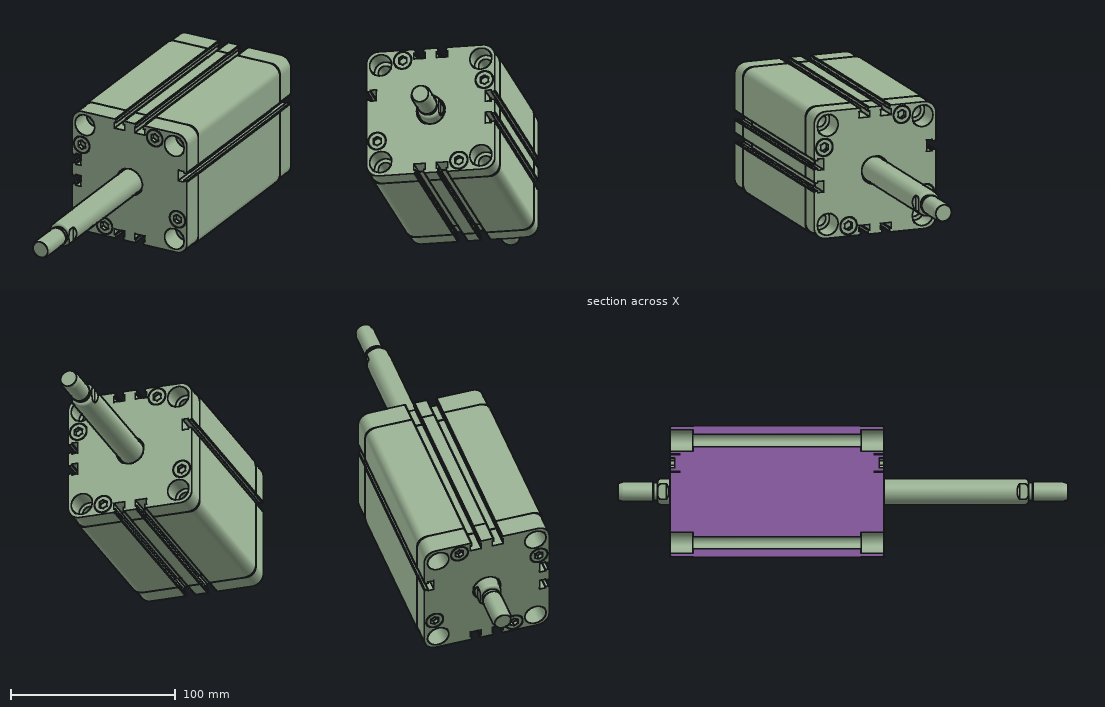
import cadquery as cq
import math


body_side = 80.0
body_length = 130.0
cap_side = 79.6
cap_length = 14.0
cap_corner_radius = 7.3
barrel_corner_radius = 6.5

slot_spacing = 14.0
slot_mouth_width = 5.2
slot_inner_width = 7.0
slot_lip_depth = 2.6
slot_chamfer = 0.5
cap_slot_depth = 6.3
barrel_slot_depth = 5.8
single_slot_offset = 12.0

mount_hole_pitch = 62.0
mount_hole_diameter = 8.57
mount_bore_diameter = 13.5
mount_bore_depth = cap_length

screw_edge_offset = 33.2
screw_side_offset = 17.4
screw_head_diameter = 10.5
screw_head_height = 6.0
screw_bore_diameter = 11.1
socket_across_flats = 5.0
socket_depth = 3.0

rod_diameter = 16.0
rod_gap_diameter = 17.6
rod_gap_depth = 2.0
front_reach = 111.5
rear_reach = 31.5
thread_diameter = 12.0
tip_diameter = 10.3
tip_length = 2.8
neck_diameter = 11.0
thread_end = 21.3
neck_end = 24.0
shoulder_radius = 2.0
wrench_across_flats = 13.0
wrench_flat_length = 5.5

half_side = body_side / 2
body_middle = body_length / 2


def along_y(start, length, sketch):
    """Extrude the sketch drawn on the XZ plane at Y = start towards +Y."""
    plane = cq.Plane(origin=(0, start, 0), xDir=(1, 0, 0), normal=(0, -1, 0))
    return sketch(cq.Workplane(plane)).extrude(-length)


def both_ends(front_feature):
    """Pair a feature of the front cap with its mirror image in the rear cap."""
    rear_feature = front_feature.mirror("XZ", (0, body_middle, 0))
    return front_feature.add(rear_feature).combine()


def slot(start, length, side, floor_depth, offset, turn):
    """T-slot cutter with a chamfered mouth, turned about Y; the floor is measured from the barrel face."""
    face_z = side / 2
    lip_z = half_side - slot_lip_depth
    floor_z = half_side - floor_depth
    mouth_x = slot_mouth_width / 2
    inner_x = slot_inner_width / 2
    right_side = [
        (mouth_x + slot_chamfer, face_z),
        (mouth_x, face_z - slot_chamfer),
        (mouth_x, lip_z),
        (inner_x, lip_z),
        (inner_x, floor_z),
    ]
    left_side = [(-x, z) for x, z in reversed(right_side)]
    cutter = along_y(start, length, lambda w: w.center(offset, 0).polyline(right_side + left_side).close())
    return cutter.rotate((0, 0, 0), (0, 1, 0), turn)


def body_section(start, length, side, corner_radius, slot_depth):
    """Square length of body with rounded corners and its seven T-slots."""
    section = along_y(start, length, lambda w: w.rect(side, side))
    section = section.edges("|Y").fillet(corner_radius)
    for turn in (0, 180, 270):
        for offset in (-slot_spacing / 2, slot_spacing / 2):
            section = section.cut(slot(start, length, side, slot_depth, offset, turn))
    return section.cut(slot(start, length, side, slot_depth, -single_slot_offset, 90))


def make_body():
    """Barrel between two end caps."""
    barrel_length = body_length - 2 * cap_length
    rear_cap_start = body_length - cap_length
    front_cap = body_section(0, cap_length, cap_side, cap_corner_radius, cap_slot_depth)
    barrel = body_section(cap_length, barrel_length, body_side, barrel_corner_radius, barrel_slot_depth)
    rear_cap = body_section(rear_cap_start, cap_length, cap_side, cap_corner_radius, cap_slot_depth)
    return front_cap.union(barrel).union(rear_cap)


def mounting_holes():
    """Corner holes through the body, opened to a wider bore in each cap."""
    def corner_circles(workplane, diameter):
        corners = workplane.rect(mount_hole_pitch, mount_hole_pitch, forConstruction=True).vertices()
        return corners.circle(diameter / 2)

    through = along_y(0, body_length, lambda w: corner_circles(w, mount_hole_diameter))
    bores = along_y(0, mount_bore_depth, lambda w: corner_circles(w, mount_bore_diameter))
    return through.union(both_ends(bores))


def screw_cutouts():
    """Clearance rings around the flush cap screw heads, with their hexagon sockets."""
    hexagon_sides = 6
    half_hexagon_step = 180 / hexagon_sides
    across_corners = socket_across_flats / math.cos(math.radians(half_hexagon_step))
    bore = along_y(0, screw_head_height, lambda w: w.circle(screw_bore_diameter / 2))
    head = along_y(0, screw_head_height, lambda w: w.circle(screw_head_diameter / 2))
    socket = along_y(0, socket_depth, lambda w: w.polygon(hexagon_sides, across_corners))
    socket = socket.rotate((0, 0, 0), (0, 1, 0), half_hexagon_step)
    screw = bore.cut(head).union(socket)
    places = [
        (-screw_edge_offset, screw_side_offset),
        (screw_side_offset, screw_edge_offset),
        (screw_edge_offset, -screw_side_offset),
        (-screw_side_offset, -screw_edge_offset),
    ]
    screws = cq.Workplane("XY")
    for x, z in places:
        screws = screws.add(screw.translate((x, 0, z)))
    return both_ends(screws.combine())


def rod_gap():
    """Round clearance around the rod in each end face."""
    return both_ends(along_y(0, rod_gap_depth, lambda w: w.circle(rod_gap_diameter / 2)))


def rod_half(reach):
    """Front half of the rod, from the middle of the body to a tip at Y = -reach."""
    undercut = (thread_diameter - neck_diameter) / 2
    thread_profile = [
        (0, 0),
        (tip_diameter / 2, 0),
        (thread_diameter / 2, tip_length),
        (thread_diameter / 2, thread_end),
        (neck_diameter / 2, thread_end + undercut),
        (neck_diameter / 2, neck_end),
        (rod_diameter / 2 - shoulder_radius, neck_end),
    ]
    outline = cq.Workplane("XY").polyline(thread_profile)
    outline = outline.radiusArc((rod_diameter / 2, neck_end + shoulder_radius), -shoulder_radius)
    outline = outline.lineTo(rod_diameter / 2, reach + body_middle).lineTo(0, reach + body_middle)
    half = outline.close().revolve(360, (0, 0), (0, 1))

    flat_x = wrench_across_flats / 2
    flat_end = neck_end + wrench_flat_length
    flat_cut_depth = rod_diameter / 2 - flat_x
    flat_profile = [
        (flat_x, neck_end),
        (flat_x, flat_end),
        (flat_x + flat_cut_depth, flat_end + flat_cut_depth),
        (flat_x + flat_cut_depth, neck_end),
    ]
    flat = cq.Workplane("XY").polyline(flat_profile).close().extrude(rod_diameter / 2, both=True)
    half = half.cut(flat).cut(flat.mirror("YZ"))
    return half.translate((0, -reach, 0))


def make_rod():
    """Whole rod with a threaded end and wrench flats on both sides."""
    rear_half = rod_half(rear_reach).mirror("XZ", (0, body_middle, 0))
    return rod_half(front_reach).union(rear_half)


body = make_body().cut(mounting_holes()).cut(screw_cutouts()).cut(rod_gap())
result = body.union(make_rod())